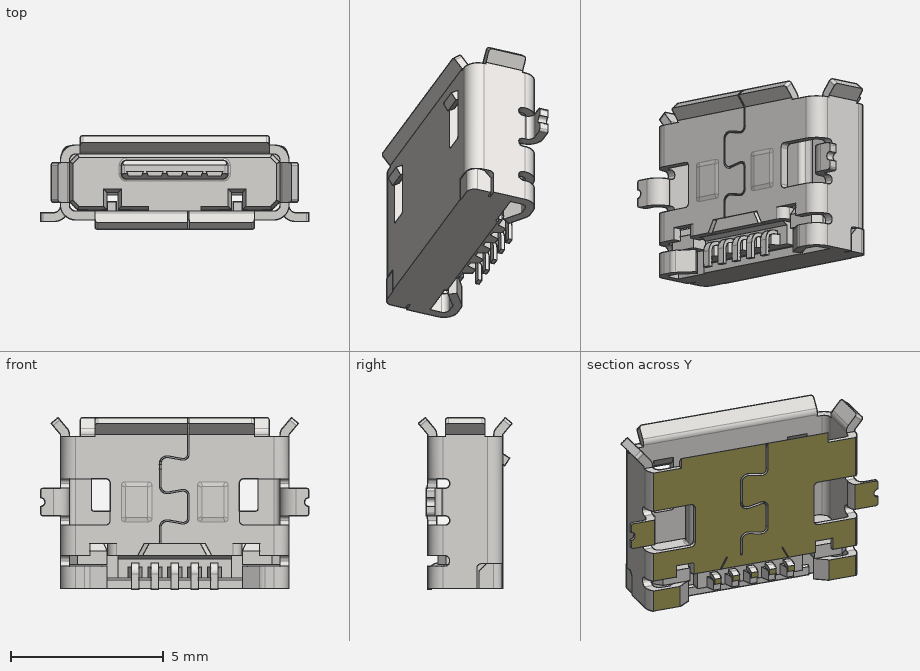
import cadquery as cq
import math


margin = 0.09
slack = 0.001

diagonal = math.sqrt(0.5)

half_width = 3.75
depth = 2.46
sheet = 0.3
corner_radius = 0.5
shell_bottom = 0.03
shell_top = 5.02
inner_half_width = half_width - sheet
back_inner = depth - sheet
mid_depth = depth / 2

flare_angle = 40.0
flare_length = 0.475
flare_root = 5.08
flare_corner = 0.1
front_flare_half = 2.61
back_flare_half = 3.1
side_flare_half = 0.65

seam_gap = 0.05
seam_right = 0.45
seam_left = -0.475
seam_pitch = 1.05
seam_low = 2.1
seam_slope_rise = 0.17
seam_radius = 0.2
front_edge = 1.11
notch_top = 1.51

panel_x = 1.25
panel_width = 1.0
panel_bottom = 2.22
panel_top = 3.52
panel_bevel = 0.14
panel_height = 0.02
panel_radius = 0.11
panel_inner_radius = 0.03

arm_bottom = 2.41
arm_top = 3.32
arm_reach = 4.4
arm_front = -0.05
arm_bend_radius = 0.22
arm_notch_radius = 0.14
arm_corner = 0.09
window_bottom = 2.11
window_top = 3.63
window_inner = 2.12
window_radius = 0.14
slot_end = 0.72

foot_top = 0.77
foot_bend_start = 2.97
foot_bend_angle = 35.0
foot_bend_radius = 0.33
foot_end = 2.22
tab_notch_outer = 2.78
tab_edge = 1.91
tab_end = 0.61

latch_inner = 2.03
latch_outer = 2.73
latch_bottom = 2.57
latch_top = 4.45
latch_radius = 0.08
lip_length = 0.27
lip_drop_angle = 33.5

body_top = notch_top
body_front = 0.33
body_back = back_inner
body_chamfer = 0.26
bevel_run = 0.11
bevel_height = 0.25
slot_inner = 1.87
slot_outer = 2.22
slot_back = 0.9
base_front = 0.82
base_top = 0.32
recess_bottom = 0.37
recess_back = 0.54
recess_roof = 1.0
body_underside = 0.81
plug_top_half = 0.99
plug_bottom_half = 1.21
centre_rib_half = 0.86
plug_front = 0.03
plug_chamfer = 0.14

block_top = 0.845
block_front = 1.68
block_chamfer = 0.25
block_inner = 2.9
block_inset = 0.03
block_side_inset = 0.05
block_radius = 0.28
block_notch_front = 1.61
block_notch_radius = 0.16

tongue_half = 1.75
tongue_front = 1.35
tongue_back = 1.96
tongue_top = 4.21
tongue_radius = 0.18
tongue_crown = 0.11
tongue_crest_front = 1.52
tongue_crest_back = 1.8
tongue_front_drop = 0.26
tongue_back_drop = 0.09
tongue_root = 0.07
contact_pitch = 0.65
contact_count = 5
contact_back_width = 0.55
contact_front_width = 0.4
contact_front = 1.4
contact_back = 1.58
contact_drop = 0.11
contact_seat = 0.31
contact_bevel = 0.09

pin_width = 0.25
pin_thickness = 0.13
pin_bend_radius = 0.36
pin_top = 0.87
gusset_back_width = 0.47
gusset_front = 0.23


def box(x0, x1, y0, y1, z0, z1):
    return cq.Workplane("XY").box(x1 - x0, y1 - y0, z1 - z0, centered=False).translate((x0, y0, z0))


def both_sides(solid):
    return solid.union(solid.mirror("YZ"))


def contact_positions():
    middle = (contact_count - 1) / 2
    return [(i - middle) * contact_pitch for i in range(contact_count)]


def shell_tube():
    outer = box(-half_width, half_width, 0, depth, shell_bottom, shell_top)
    outer = outer.edges("|Z").fillet(corner_radius)
    inner = box(-inner_half_width, inner_half_width, sheet, back_inner, shell_bottom, shell_top)
    return outer.cut(inner.edges("|Z").fillet(corner_radius - sheet))


def flare(half_length):
    """Tab along X whose outer face continues Y = 0 and then leans towards -Y."""
    angle = math.radians(flare_angle)
    root = box(-half_length, half_length, 0, sheet, shell_top - sheet, flare_root)
    bend = (
        cq.Workplane("YZ")
        .moveTo(0, flare_root)
        .lineTo(sheet, flare_root)
        .threePointArc(
            (sheet * math.cos(angle / 2), flare_root + sheet * math.sin(angle / 2)),
            (sheet * math.cos(angle), flare_root + sheet * math.sin(angle)),
        )
        .close()
        .extrude(half_length, both=True)
    )
    leaf = box(-half_length, half_length, 0, sheet, 0, flare_length)
    leaf = leaf.edges("|Y and >Z").fillet(flare_corner)
    leaf = leaf.rotate((0, 0, 0), (1, 0, 0), flare_angle).translate((0, 0, flare_root))
    return root.union(bend).union(leaf)


def flares():
    front = flare(front_flare_half)
    back = flare(back_flare_half).mirror("XZ").translate((0, depth, 0))
    side = flare(side_flare_half).rotate((0, 0, 0), (0, 0, 1), -90)
    side = side.translate((-half_width, mid_depth, 0))
    return front.union(back).union(both_sides(side))


def seam():
    """Gap between the two halves of the front wall, along the edge of the right half."""
    top = shell_top + 2 * flare_length
    middle = seam_low + seam_pitch
    high = seam_low + 2 * seam_pitch
    corners = [
        (seam_right, high),
        (seam_left, high + seam_slope_rise),
        (seam_left, middle),
        (seam_right, middle + seam_slope_rise),
        (seam_right, seam_low),
        (seam_left, seam_low + seam_slope_rise),
    ]
    far_right = [(half_width, 0), (half_width, top)]
    right_half = (
        cq.Workplane("XZ")
        .polyline([(seam_right, top)] + corners + [(seam_left, 0)] + far_right)
        .close()
        .extrude(2 * sheet)
    )
    bends = cq.selectors.BoxSelector(
        (-half_width / 2, -2 * sheet, margin), (half_width / 2, 0, top - margin)
    )
    right_half = right_half.edges("|Y").edges(bends).fillet(seam_radius)
    widened = right_half.faces(">Y").wires().toPending().offset2D(seam_gap).extrude(2 * sheet)
    strip = widened.cut(right_half).translate((seam_gap / 2, sheet, 0))
    reach = seam_right + seam_gap
    return strip.intersect(box(-reach, reach, -2 * sheet, sheet, front_edge, top - seam_gap))


def panel(x):
    """Raised panel with sloping borders, rooted at mid thickness of the front wall."""
    middle_z = (panel_bottom + panel_top) / 2
    tall = panel_top - panel_bottom
    inset = 2 * panel_bevel
    outline = cq.Sketch().rect(panel_width, tall).vertices().fillet(panel_radius)
    crest = cq.Sketch().rect(panel_width - inset, tall - inset).vertices().fillet(panel_inner_radius)
    slope = cq.Workplane("XZ", origin=(x, 0, middle_z)).placeSketch(
        outline, crest.moved(cq.Location(cq.Vector(0, 0, panel_height)))
    ).loft()
    root = cq.Workplane("XZ", origin=(x, 0, middle_z)).placeSketch(outline).extrude(-sheet / 2)
    return root.union(slope)


def rounded_slot(z0, z1):
    """Relief slot through the left side wall, open at the front and round at the back."""
    slot = box(-half_width - margin, -half_width + corner_radius, -margin, slot_end, z0, z1)
    return slot.edges("|X and >Y").fillet((z1 - z0) / 2 - slack)


def arm_openings():
    left = -half_width - margin
    window = box(left, -window_inner, -margin, sheet, window_bottom, window_top)
    window = window.edges("|Y and >X").fillet(window_radius)
    bend_end = arm_front + sheet + arm_bend_radius
    corner = box(left, -half_width + corner_radius, -margin, bend_end, window_bottom, window_top)
    slots = rounded_slot(window_bottom, arm_bottom).union(rounded_slot(arm_top, window_top))
    return window.union(corner).union(slots)


def arm():
    """Left arm: leaves the side wall, bends outwards and ends in a notched flat."""
    bend_x = -half_width - arm_bend_radius
    bend_y = arm_front + sheet + arm_bend_radius
    outer = arm_bend_radius + sheet
    profile = (
        cq.Workplane("XY", origin=(0, 0, arm_bottom))
        .moveTo(-arm_reach, arm_front)
        .lineTo(bend_x, arm_front)
        .threePointArc((bend_x + outer * diagonal, bend_y - outer * diagonal), (bend_x + outer, bend_y))
        .lineTo(-half_width, bend_y)
        .threePointArc(
            (bend_x + arm_bend_radius * diagonal, bend_y - arm_bend_radius * diagonal),
            (bend_x, arm_front + sheet),
        )
        .lineTo(-arm_reach, arm_front + sheet)
        .close()
        .extrude(arm_top - arm_bottom)
    )
    notch = (
        cq.Workplane("XZ", origin=(-arm_reach, 0, (arm_bottom + arm_top) / 2))
        .circle(arm_notch_radius)
        .extrude(2 * sheet, both=True)
    )
    return profile.edges("|Y and <X").fillet(arm_corner).cut(notch)


def lower_front_openings():
    centre = (
        cq.Workplane("XZ")
        .polyline([
            (-plug_bottom_half, front_edge),
            (-plug_top_half, notch_top),
            (plug_top_half, notch_top),
            (plug_bottom_half, front_edge),
        ])
        .close()
        .extrude(-sheet)
    )
    below = box(-foot_bend_start, foot_bend_start, -margin, sheet, 0, front_edge)
    tab_notch = box(-tab_notch_outer, -tab_edge, -margin, sheet, foot_top, notch_top)
    slit = rounded_slot(foot_top, front_edge)
    slit = slit.union(box(-half_width - margin, -foot_end, -margin, sheet, foot_top, front_edge))
    return centre.union(below).union(both_sides(tab_notch.union(slit)))


def foot_end_leaf():
    """Left foot extension: curls inwards from the front wall at the bend angle."""
    angle = math.radians(foot_bend_angle)
    inner = foot_bend_radius - sheet

    def on_bend(radius, turn):
        return (-foot_bend_start + radius * math.sin(turn), foot_bend_radius - radius * math.cos(turn))

    outer_x, outer_y = on_bend(foot_bend_radius, angle)
    run = -foot_end - outer_x
    tip = (-foot_end, outer_y + run * math.tan(angle))
    return (
        cq.Workplane("XY", origin=(0, 0, shell_bottom))
        .moveTo(-foot_bend_start, 0)
        .threePointArc(on_bend(foot_bend_radius, angle / 2), (outer_x, outer_y))
        .lineTo(*tip)
        .lineTo(tip[0] - sheet * math.sin(angle), tip[1] + sheet * math.cos(angle))
        .lineTo(*on_bend(inner, angle))
        .threePointArc(on_bend(inner, angle / 2), (-foot_bend_start, sheet))
        .close()
        .extrude(foot_top - shell_bottom)
    )


def stop_tab():
    """Left stop tab: the front wall edge turned 90 degrees inwards."""
    rise = sheet * diagonal
    return (
        cq.Workplane("XY", origin=(0, 0, front_edge))
        .moveTo(-tab_edge, 0)
        .threePointArc((-tab_edge - rise, sheet - rise), (-tab_edge - sheet, sheet))
        .lineTo(-tab_edge - sheet, tab_end)
        .lineTo(-tab_edge, tab_end)
        .close()
        .extrude(notch_top - front_edge)
    )


def latch_window():
    window = box(-latch_outer, -latch_inner, back_inner - margin, depth + margin, latch_bottom, latch_top)
    return window.edges("|Y and <Z").fillet(latch_radius)


def latch_lip():
    """Left lip bent outwards from the top edge of the latch window."""
    angle = math.radians(lip_drop_angle)
    along = (lip_length * math.cos(angle), -lip_length * math.sin(angle))
    across = (-sheet * math.sin(angle), -sheet * math.cos(angle))
    return (
        cq.Workplane("YZ", origin=(-latch_outer, 0, 0))
        .moveTo(depth, latch_top)
        .lineTo(depth + along[0], latch_top + along[1])
        .lineTo(depth + along[0] + across[0], latch_top + along[1] + across[1])
        .lineTo(depth + across[0], latch_top + across[1])
        .lineTo(back_inner, latch_top)
        .close()
        .extrude(latch_outer - latch_inner)
    )


def corner_notch():
    notch = box(-half_width - margin, -block_inner, block_notch_front, depth + margin, 0, block_top)
    return notch.edges("|X and <Y and >Z").fillet(block_notch_radius)


def corner_block():
    left = -half_width + block_side_inset
    block = box(left, -block_inner, block_front, depth - block_inset, shell_bottom, block_top)
    block = block.edges("|Z and <X and >Y").fillet(block_radius)
    return block.edges("|X and <Y and >Z").chamfer(block_chamfer)


def shell():
    tube = shell_tube().union(flares())
    tube = tube.cut(both_sides(arm_openings())).cut(lower_front_openings())
    tube = tube.cut(both_sides(latch_window())).cut(both_sides(corner_notch()))
    tube = tube.cut(seam()).union(panel(panel_x)).union(panel(-panel_x))
    additions = arm().union(foot_end_leaf()).union(stop_tab()).union(latch_lip()).union(corner_block())
    return tube.union(both_sides(additions))


def body_block():
    cut_x = inner_half_width - body_chamfer
    cut_y = body_front + body_chamfer
    rear_y = body_back - body_chamfer
    right_half = [
        (cut_x, body_front), (inner_half_width, cut_y), (inner_half_width, rear_y), (cut_x, body_back)
    ]
    left_half = [(-x, y) for x, y in reversed(right_half)]
    block = cq.Workplane("XY", origin=(0, 0, shell_bottom)).polyline(right_half + left_half).close()
    return block.extrude(body_top - shell_bottom).faces(">Z").chamfer(bevel_height, bevel_run)


def guide_slot():
    """Left guide slot, open to the front, with a bevelled mouth at the top."""
    slot = box(-slot_outer, -slot_inner, 0, slot_back, 0, body_top)
    mouth = (
        cq.Workplane("XY", origin=(-(slot_outer + slot_inner) / 2, slot_back / 2, body_top - bevel_height))
        .rect(slot_outer - slot_inner, slot_back)
        .workplane(offset=bevel_height)
        .rect(slot_outer - slot_inner + 2 * bevel_run, slot_back + 2 * bevel_run)
        .loft()
    )
    return slot.union(mouth)


def body():
    centre_rib = box(-centre_rib_half, centre_rib_half, body_front, tongue_front, front_edge, body_top)
    block = body_block().union(centre_rib)
    plug = (
        cq.Workplane("XZ", origin=(0, plug_front, 0))
        .polyline([
            (-plug_bottom_half, front_edge),
            (-plug_top_half, body_top),
            (plug_top_half, body_top),
            (plug_bottom_half, front_edge),
        ])
        .close()
        .extrude(plug_front - body_front)
    )
    plug = plug.faces("<Y").edges("not |X").chamfer(plug_chamfer)
    recess = (
        cq.Workplane("YZ", origin=(-slot_inner, 0, 0))
        .polyline([
            (0, 0), (0, front_edge), (body_front, front_edge), (recess_back, recess_roof), (recess_back, 0)
        ])
        .close()
        .extrude(2 * slot_inner)
    )
    undercut = (
        cq.Workplane("YZ", origin=(-half_width, 0, 0))
        .polyline([
            (0, 0), (0, recess_bottom), (slot_back, recess_bottom), (base_front, base_top), (base_front, 0)
        ])
        .close()
        .extrude(2 * half_width)
    )
    foot_room = box(-half_width, -slot_outer, 0, slot_back, 0, body_underside)
    block = block.cut(recess).cut(undercut)
    block = block.cut(both_sides(foot_room.union(guide_slot())))
    toe = (
        cq.Workplane("YZ", origin=(-slot_outer, 0, 0))
        .polyline([
            (base_front, shell_bottom), (base_front, base_top), (slot_back, recess_bottom),
            (slot_back, shell_bottom),
        ])
        .close()
        .extrude(2 * slot_outer)
    )
    return block.union(plug).union(toe)


def contact(x, bottom, top):
    """Contact at the tongue tip, tapering in width towards the front."""
    back_half = contact_back_width / 2
    front_half = contact_front_width / 2
    return (
        cq.Workplane("XY", origin=(x, 0, bottom))
        .polyline([
            (-back_half, contact_back),
            (back_half, contact_back),
            (front_half, contact_front),
            (-front_half, contact_front),
        ])
        .close()
        .extrude(top - bottom)
    )


def tongue():
    blade = box(-tongue_half, tongue_half, tongue_front, tongue_back, body_top, tongue_top)
    blade = blade.edges("|Z").fillet(tongue_radius)
    blade = blade.faces(">Z").edges().fillet(tongue_crown)
    root_plate = box(
        -tongue_half - sheet, tongue_half + sheet, tongue_front - sheet, tongue_back + sheet,
        body_top - margin, body_top,
    )
    root_edges = cq.selectors.BoxSelector(
        (-tongue_half - margin, tongue_front - margin, body_top - slack),
        (tongue_half + margin, tongue_back + margin, body_top + slack),
    )
    blade = blade.union(root_plate).edges(root_edges).fillet(tongue_root)
    blade = blade.intersect(box(
        -tongue_half - tongue_root, tongue_half + tongue_root,
        tongue_front - tongue_root, tongue_back + tongue_root, body_top - margin, tongue_top,
    ))
    slopes = (
        cq.Workplane("YZ", origin=(-half_width, 0, 0))
        .polyline([
            (tongue_front - tongue_root, 0),
            (tongue_front - tongue_root, body_top + tongue_root),
            (tongue_front, body_top + tongue_root),
            (tongue_front, tongue_top - tongue_front_drop),
            (tongue_crest_front, tongue_top),
            (tongue_crest_back, tongue_top),
            (tongue_back, tongue_top - tongue_back_drop),
            (tongue_back, body_top + tongue_root),
            (depth, body_top + tongue_root),
            (depth, 0),
        ])
        .close()
        .extrude(2 * half_width)
    )
    blade = blade.intersect(slopes)
    for x in contact_positions():
        blade = blade.cut(contact(x, tongue_top - contact_drop, tongue_top))
        metal = contact(x, tongue_top - contact_seat, tongue_top - contact_drop)
        blade = blade.union(metal.faces("<Y").edges(">Z").chamfer(contact_bevel))
    return blade


def pin(x):
    bend_z = pin_top - pin_bend_radius
    inner = pin_bend_radius - pin_thickness
    return (
        cq.Workplane("YZ", origin=(x, 0, 0))
        .moveTo(0, 0)
        .lineTo(0, bend_z)
        .threePointArc(
            (pin_bend_radius * (1 - diagonal), bend_z + pin_bend_radius * diagonal),
            (pin_bend_radius, pin_top),
        )
        .lineTo(slot_back, pin_top)
        .lineTo(slot_back, pin_top - pin_thickness)
        .lineTo(pin_bend_radius, pin_top - pin_thickness)
        .threePointArc(
            (pin_bend_radius - inner * diagonal, bend_z + inner * diagonal),
            (pin_thickness, bend_z),
        )
        .lineTo(pin_thickness, 0)
        .close()
        .extrude(pin_width / 2, both=True)
    )


def pin_gusset(x):
    """Insulator web under a pin, narrowing to the pin width at the front."""
    back_half = gusset_back_width / 2
    front_half = pin_width / 2
    web = (
        cq.Workplane("XY", origin=(x, 0, recess_bottom))
        .polyline([
            (-back_half, recess_back),
            (back_half, recess_back),
            (front_half, gusset_front),
            (-front_half, gusset_front),
        ])
        .close()
        .extrude(pin_top - pin_thickness - recess_bottom)
    )
    bend = (
        cq.Workplane("YZ", origin=(x, pin_bend_radius, pin_top - pin_bend_radius))
        .circle(pin_bend_radius - pin_thickness)
        .extrude(gusset_back_width, both=True)
    )
    behind = box(x - back_half, x + back_half, pin_bend_radius, recess_back, recess_bottom, pin_top)
    return web.intersect(bend.union(behind))


insulator = body().union(tongue())
result = shell()
for pin_x in contact_positions():
    insulator = insulator.union(pin_gusset(pin_x)).union(pin(pin_x))
result = result.union(insulator)